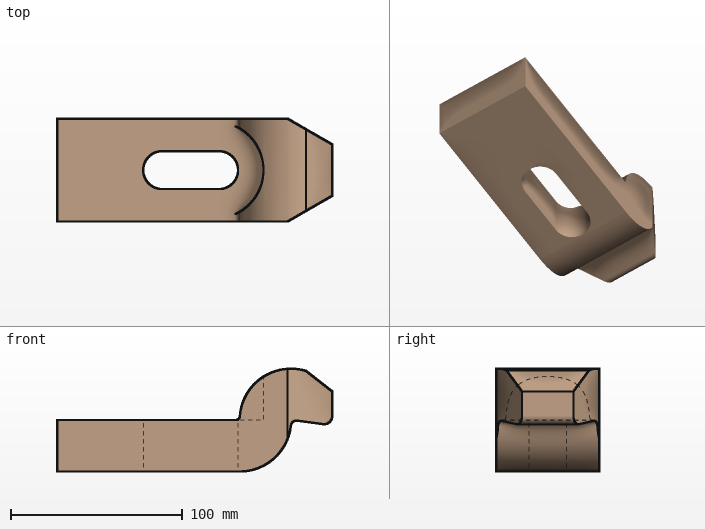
import cadquery as cq
import math

length = 160.0
width = 60.0
height = 60.0
bar_height = 30.0

bend_radius = bar_height
hump_radius = height - bar_height
lower_bend_x = 106.0
upper_bend_x = lower_bend_x + hump_radius
throat_x = lower_bend_x + bend_radius

hump_end_x = 144.6
nose_top_z = 46.7
nose_tip_z = 26.9
nose_tip_radius = 4.8
nose_taper_angle = 30.0
nose_tip_width = 30.0

bar_fillet = 2.4
throat_fillet = 3.2

slot_start_x = 50.0
slot_end_x = 105.1
slot_width = 22.0
clearance_x = 91.8
clearance_radius = 28.2


def arc_point(center_x, radius, angle):
    """Point on an arc centred at the bar's top face."""
    a = math.radians(angle)
    return center_x + radius * math.cos(a), bar_height + radius * math.sin(a)


def make_body():
    """Side outline extruded across the full width."""
    hump_rise = math.sqrt(hump_radius**2 - (hump_end_x - upper_bend_x) ** 2)
    hump_end = (hump_end_x, bar_height + hump_rise)
    body = (
        cq.Workplane("XZ")
        .lineTo(lower_bend_x, 0)
        .threePointArc(arc_point(lower_bend_x, bend_radius, -45), arc_point(lower_bend_x, bend_radius, 0))
        .lineTo(length, nose_tip_z)
        .lineTo(length, nose_top_z)
        .lineTo(*hump_end)
        .threePointArc(arc_point(upper_bend_x, hump_radius, 135), arc_point(upper_bend_x, hump_radius, 180))
        .lineTo(0, bar_height)
        .close()
        .extrude(width / 2, both=True)
    )

    def round_edge(solid, x, z, radius):
        edge = cq.selectors.NearestToPointSelector((x, 0, z))
        return solid.edges("|Y").edges(edge).fillet(radius)

    body = round_edge(body, lower_bend_x, bar_height, bar_fillet)
    body = round_edge(body, throat_x, bar_height, throat_fillet)
    return round_edge(body, length, nose_tip_z, nose_tip_radius)


def make_plan():
    """Plan outline with the nose tapered on both sides."""
    tip_half = nose_tip_width / 2
    taper_length = (width / 2 - tip_half) / math.tan(math.radians(nose_taper_angle))
    taper_x = length - taper_length
    return (
        cq.Workplane("XY")
        .moveTo(0, -width / 2)
        .lineTo(taper_x, -width / 2)
        .lineTo(length, -tip_half)
        .lineTo(length, tip_half)
        .lineTo(taper_x, width / 2)
        .lineTo(0, width / 2)
        .close()
        .extrude(height)
    )


def make_slot():
    """Round-ended bolt slot through the bar."""
    return (
        cq.Workplane("XY")
        .center((slot_start_x + slot_end_x) / 2, 0)
        .slot2D(slot_end_x - slot_start_x, slot_width)
        .extrude(bar_height)
    )


def make_clearance():
    """Vertical cylinder above the bar, leaving its top face flat."""
    return (
        cq.Workplane("XY", origin=(clearance_x, 0, bar_height))
        .circle(clearance_radius)
        .extrude(hump_radius)
    )


result = make_body().intersect(make_plan()).cut(make_slot()).cut(make_clearance())